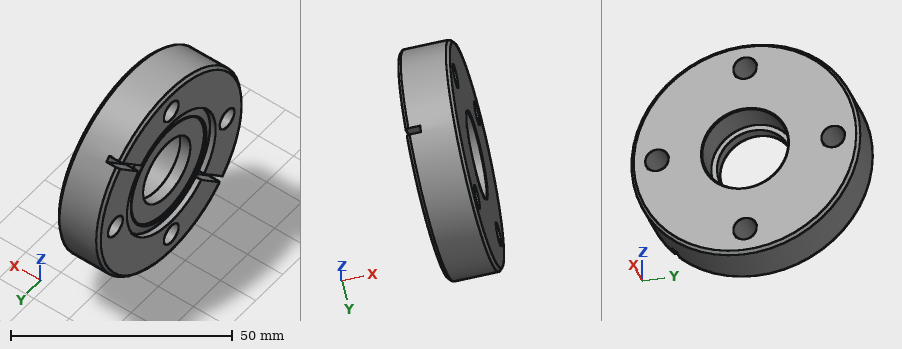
import cadquery as cq

outer_radius = 26.8
thickness = 11.95
rim_chamfer = 0.75
bore_radius = 8.75

socket_radius = 10.1
socket_chamfer = 0.2
socket_start = 4.2

recess_radius = 16.4
recess_depth = 1.55
knife_radius = 14.0
knife_inner_radius = 13.75
knife_tip_depth = 0.75
knife_inner_depth = 1.3
knife_foot_radius = 16.3

bolt_count = 4
bolt_circle_radius = 20.65
bolt_hole_diameter = 5.45

slot_width = 1.5
slot_depth = 3.45
slot_angle = 45.0


def make_flange():
    """Revolve the half section (X, radius) about the X axis."""
    section = (
        cq.Workplane("XY")
        .moveTo(knife_inner_depth, bore_radius)
        .lineTo(knife_inner_depth, knife_inner_radius)
        .lineTo(knife_tip_depth, knife_inner_radius)
        .lineTo(knife_tip_depth, knife_radius)
        .lineTo(recess_depth, knife_foot_radius)
        .lineTo(recess_depth, recess_radius)
        .lineTo(0, recess_radius)
        .lineTo(0, outer_radius - rim_chamfer)
        .lineTo(rim_chamfer, outer_radius)
        .lineTo(thickness - rim_chamfer, outer_radius)
        .lineTo(thickness, outer_radius - rim_chamfer)
        .lineTo(thickness, socket_radius + socket_chamfer)
        .lineTo(thickness - socket_chamfer, socket_radius)
        .lineTo(socket_start, socket_radius)
        .lineTo(socket_start, bore_radius)
        .close()
    )
    return section.revolve(360, (0, 0, 0), (1, 0, 0))


def make_bolt_holes():
    return (
        cq.Workplane("YZ")
        .polarArray(bolt_circle_radius, 0, 360, bolt_count)
        .circle(bolt_hole_diameter / 2)
        .extrude(thickness)
    )


def make_leak_slots():
    """One diagonal bar, kept only outside the recess so it forms two opposite slots."""
    bar = (
        cq.Workplane("YZ")
        .rect(2 * outer_radius + slot_width, slot_width)
        .extrude(slot_depth)
        .rotate((0, 0, 0), (1, 0, 0), slot_angle)
    )
    recess_core = cq.Workplane("YZ").circle(recess_radius).extrude(slot_depth)
    return bar.cut(recess_core)


result = make_flange().cut(make_bolt_holes()).cut(make_leak_slots())